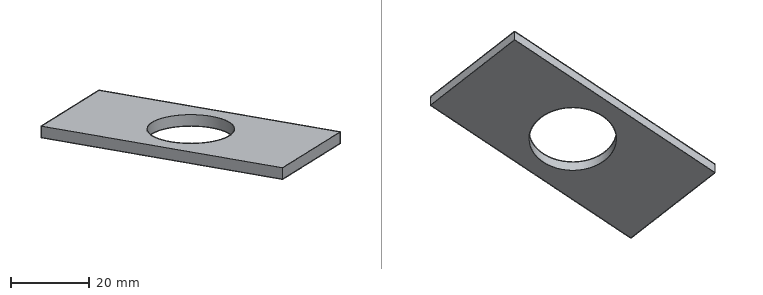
import cadquery as cq

length = 69.85
width = 31.8
thickness = 3.15

hole_diameter = 22.35

result = (
    cq.Workplane("XY")
    .box(length, width, thickness)
    .faces(">Z")
    .workplane()
    .hole(hole_diameter)
)